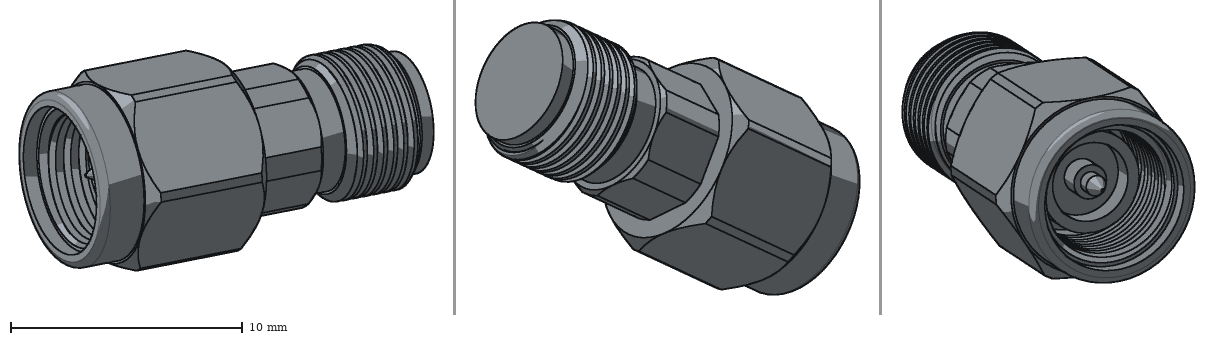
import cadquery as cq
import math

LENGTH = 17.0
HEX_SIDES = 6
THREAD_FLANK_ANGLE = math.radians(30)

NUT_HEX_START = 2.0
NUT_HEX_END = 8.0
NUT_ACROSS_FLATS = 8.0
NUT_CORNER_RADIUS = 4.5
NUT_TURN = -3.3
COLLAR_RADIUS = 3.9
COLLAR_FILLET = 0.32

MOUTH_RADIUS = 3.26
MOUTH_DEPTH = 0.66
NUT_THREAD_MAJOR = 3.1
NUT_THREAD_MINOR = 2.79
NUT_THREAD_PITCH = 0.75
NUT_THREAD_PHASE = 0.03
NUT_THREAD_TURNS = 6
NUT_BORE_END = 5.1

SLEEVE_START = 2.67
SLEEVE_RADIUS = 2.3
SLEEVE_BORE_RADIUS = 1.77
SLEEVE_BORE_END = 3.74
PIN_TIP = 1.28
PIN_TIP_RADIUS = 0.07
PIN_RADIUS = 0.46
PIN_CONE_LENGTH = 0.75
PIN_BASE_RADIUS = 0.76

BODY_HEX_END = 11.37
BODY_ACROSS_FLATS = 6.0
BODY_CORNER_RADIUS = 3.2
BARREL_RADIUS = 2.7
BARREL_THREAD_START = 12.61
BARREL_THREAD_END = 16.35
BARREL_THREAD_END_RADIUS = 2.82
BARREL_THREAD_MAJOR = 3.23
BARREL_THREAD_ROOT = 2.95
BARREL_THREAD_PHASE = 12.07
BARREL_THREAD_TURNS = 9
BARREL_HELIX_LENGTH = 4.5
BARREL_THREAD_PITCH = BARREL_HELIX_LENGTH / BARREL_THREAD_TURNS

THREAD_OVERCUT = 0.07


def revolved(points):
    """Solid turned about Z from a closed outline of (radius, height) points."""
    return cq.Workplane("XZ").polyline(points).close().revolve(360, (0, 0, 0), (0, 1, 0))


def cylinder(radius, start, end):
    return cq.Workplane("XY").workplane(offset=start).circle(radius).extrude(end - start)


def hex_blank(across_flats, corner_radius, start, end, chamfer_start):
    """Hexagon with corners on +-X, rounded to corner_radius and turned down at 45 degrees at its ends."""
    sharp_diameter = across_flats / math.cos(math.pi / HEX_SIDES)
    prism = cq.Workplane("XY").workplane(offset=start).polygon(HEX_SIDES, sharp_diameter).extrude(end - start)
    chamfer = corner_radius - across_flats / 2
    envelope = cylinder(corner_radius, start, end).faces(">Z").chamfer(chamfer)
    if chamfer_start:
        envelope = envelope.faces("<Z").chamfer(chamfer)
    return prism.intersect(envelope)


def thread_cutter(tip_radius, open_radius, pitch, start, turns):
    """Right-handed helical V with its sharp edge at tip_radius, widening towards open_radius."""
    half_width = abs(open_radius - tip_radius) * math.tan(THREAD_FLANK_ANGLE)
    helix = cq.Wire.makeHelix(pitch, pitch * turns, tip_radius, center=cq.Vector(0, 0, start))
    profile = cq.Workplane("XZ").polyline([
        (tip_radius, start),
        (open_radius, start - half_width),
        (open_radius, start + half_width),
    ]).close()
    return profile.sweep(cq.Workplane(obj=helix), isFrenet=True)


def along_y(part):
    return part.rotate((0, 0, 0), (1, 0, 0), -90)


def make_nut():
    collar = cylinder(COLLAR_RADIUS, 0, NUT_HEX_END).faces("<Z").edges().fillet(COLLAR_FILLET)
    hexagon = hex_blank(NUT_ACROSS_FLATS, NUT_CORNER_RADIUS, NUT_HEX_START, NUT_HEX_END, True)
    hexagon = hexagon.rotate((0, 0, 0), (0, 0, 1), NUT_TURN)

    lead_in_end = MOUTH_DEPTH + NUT_THREAD_MAJOR - NUT_THREAD_MINOR
    opening = revolved([
        (0, 0),
        (MOUTH_RADIUS, 0),
        (MOUTH_RADIUS, MOUTH_DEPTH),
        (NUT_THREAD_MAJOR, MOUTH_DEPTH),
        (NUT_THREAD_MINOR, lead_in_end),
        (NUT_THREAD_MINOR, NUT_BORE_END),
        (SLEEVE_RADIUS, NUT_BORE_END),
        (SLEEVE_RADIUS, NUT_HEX_END),
        (0, NUT_HEX_END),
    ])
    thread = thread_cutter(
        NUT_THREAD_MAJOR, NUT_THREAD_MINOR - THREAD_OVERCUT,
        NUT_THREAD_PITCH, NUT_THREAD_PHASE, NUT_THREAD_TURNS,
    )
    return along_y(collar.union(hexagon).cut(opening).cut(thread)).solids()


def make_barrel_thread():
    """Threaded band of the jack barrel, turned down at 45 degrees at both ends."""
    chamfer = BARREL_THREAD_MAJOR - BARREL_THREAD_END_RADIUS
    band = cylinder(BARREL_THREAD_MAJOR, BARREL_THREAD_START, BARREL_THREAD_END)
    band = band.faces("<Z or >Z").chamfer(chamfer)

    helix_end = BARREL_THREAD_PHASE + BARREL_HELIX_LENGTH
    stock_start = BARREL_THREAD_PHASE - BARREL_THREAD_PITCH
    stock = cylinder(BARREL_THREAD_MAJOR, stock_start, helix_end + BARREL_THREAD_PITCH)
    cutter = thread_cutter(
        BARREL_THREAD_ROOT, BARREL_THREAD_MAJOR + THREAD_OVERCUT,
        BARREL_THREAD_PITCH, BARREL_THREAD_PHASE, BARREL_THREAD_TURNS,
    )
    return stock.cut(cutter).intersect(band)


def make_body():
    sleeve = cylinder(SLEEVE_RADIUS, SLEEVE_START, NUT_HEX_END)
    sleeve = sleeve.cut(cylinder(SLEEVE_BORE_RADIUS, SLEEVE_START, SLEEVE_BORE_END))

    pin = revolved([
        (0, PIN_TIP),
        (PIN_TIP_RADIUS, PIN_TIP),
        (PIN_RADIUS, PIN_TIP + PIN_CONE_LENGTH),
        (PIN_RADIUS, SLEEVE_START),
        (PIN_BASE_RADIUS, SLEEVE_START),
        (PIN_BASE_RADIUS, SLEEVE_BORE_END),
        (0, SLEEVE_BORE_END),
    ])
    hexagon = hex_blank(BODY_ACROSS_FLATS, BODY_CORNER_RADIUS, NUT_HEX_END, BODY_HEX_END, False)
    barrel = cylinder(BARREL_RADIUS, BODY_HEX_END, LENGTH)
    return along_y(sleeve.union(pin).union(hexagon).union(barrel).union(make_barrel_thread())).solids()


nut = make_nut()
body = make_body()
result = cq.Compound.makeCompound([nut.val(), body.val()])